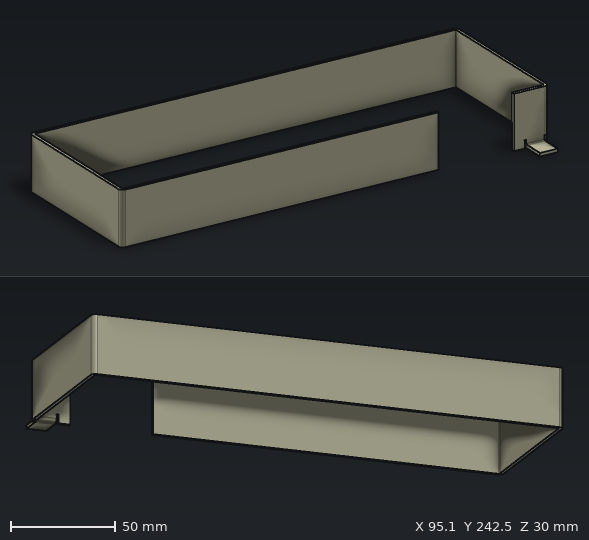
import cadquery as cq

length = 242.5
band_width = 83.0
height = 30.0
thickness = 2.0
inner_bend = 0.5
outer_bend = inner_bend + thickness

gap_start = 20.0
gap_end = 62.5

tab_reach = 12.1
tab_width = 10.2
tab_offset = 2.7
relief_width = 1.0
relief_height = 4.4

right_face = band_width / 2
right_inner_face = right_face - thickness
back_face = length / 2
tab_center_y = back_face - tab_offset - tab_width / 2


def block(x_min, x_max, y_min, y_max, z_max):
    """Box standing on the base plane between the given limits."""
    size = (x_max - x_min, y_max - y_min, z_max)
    return cq.Workplane("XY").box(*size, centered=False).translate((x_min, y_min, 0))


def rounded_column(width, depth, radius):
    """Full-height rectangular column with rounded vertical edges."""
    return cq.Workplane("XY").rect(width, depth).extrude(height).edges("|Z").fillet(radius)


def open_band():
    """Bent strip with four rounded corners and a gap in the +X wall."""
    outside = rounded_column(band_width, length, outer_bend)
    inside = rounded_column(band_width - 2 * thickness, length - 2 * thickness, inner_bend)
    gap = block(0, right_face, back_face - gap_end, back_face - gap_start, height)
    return outside.cut(inside).cut(gap)


def wall_cut(y_min, y_max, cut_height):
    """Cut through the +X wall, rising from its bottom edge."""
    return block(right_inner_face - inner_bend, right_face, y_min, y_max, cut_height)


def bend_clearance():
    """Removed wall bottom: the tab width plus a taller relief notch on each side."""
    y_min = tab_center_y - tab_width / 2
    y_max = tab_center_y + tab_width / 2
    clearance = wall_cut(y_min, y_max, outer_bend)
    for notch_start in (y_min - relief_width, y_max):
        clearance = clearance.union(wall_cut(notch_start, notch_start + relief_width, relief_height))
    return clearance


def folded_tab():
    """Quarter-round bend from the wall into a flat tab lying on the base plane."""
    bend_x = right_inner_face + outer_bend
    tip_x = right_face + tab_reach
    diagonal = 0.5 ** 0.5
    return (
        cq.Workplane("XZ", origin=(0, tab_center_y, 0))
        .moveTo(right_inner_face, outer_bend)
        .threePointArc(
            (bend_x - outer_bend * diagonal, outer_bend * (1 - diagonal)),
            (bend_x, 0),
        )
        .lineTo(tip_x, 0)
        .lineTo(tip_x, thickness)
        .lineTo(bend_x, thickness)
        .threePointArc(
            (bend_x - inner_bend * diagonal, outer_bend - inner_bend * diagonal),
            (right_face, outer_bend),
        )
        .close()
        .extrude(tab_width / 2, both=True)
    )


result = open_band().cut(bend_clearance()).union(folded_tab())